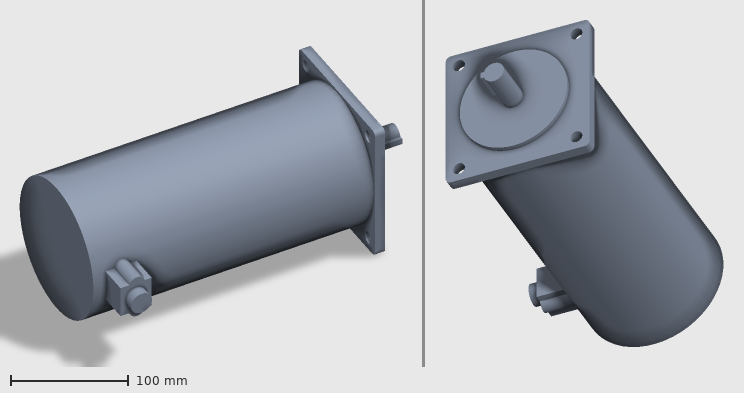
import cadquery as cq

overall_width = 167.0
flange_side = 134.0
flange_thickness = 10.0
flange_corner_radius = 5.0
hole_spacing = 109.5
hole_diameter = 11.0
casing_diameter = 130.0
casing_length = 272.2

shaft_offset = 1.5
pilot_diameter = 100.0
pilot_height = 5.0
shaft_diameter = 19.0
shaft_length = 41.0

key_width = 6.0
key_height = 6.0
key_length = 30.0
key_top = 12.0

block_width = 30.2
connector_from_rear = 27.5
connector_z = -1.0
lobe_width = 14.8
lobe_height = 6.0
lobe_offset = 1.0
plug_diameter = 20.5
plug_length = 10.0

shaft_end = pilot_height + shaft_length
casing_front = -flange_thickness
casing_rear = casing_front - casing_length
connector_y = casing_rear + connector_from_rear
plug_end = overall_width - flange_side / 2
block_end = plug_end - plug_length


def cylinder_along_y(diameter, y_start, y_end, axis_x=0):
    """Cylinder between two Y positions, its axis at the given X."""
    base = cq.Workplane("XZ", origin=(axis_x, y_start, 0))
    return base.circle(diameter / 2).extrude(y_start - y_end)


def make_flange():
    """Square mounting flange with rounded corners and four through holes."""
    plate = cq.Workplane("XZ").rect(flange_side, flange_side).extrude(flange_thickness)
    holes = (
        cq.Workplane("XZ")
        .rect(hole_spacing, hole_spacing, forConstruction=True)
        .vertices()
        .circle(hole_diameter / 2)
        .extrude(flange_thickness)
    )
    return plate.edges("|Y").fillet(flange_corner_radius).cut(holes)


def make_connector():
    """Block with a rounded lobe above and below and a round plug, reaching out from the casing axis."""
    connector_plane = cq.Workplane("YZ", origin=(0, connector_y, connector_z))
    lobe_radius = ((lobe_width / 2) ** 2 + lobe_height**2) / (2 * lobe_height)
    lobe_centre = block_width / 2 + lobe_height - lobe_radius
    block = connector_plane.rect(block_width, block_width).extrude(block_end)
    lobes = (
        connector_plane.pushPoints([(lobe_offset, lobe_centre), (lobe_offset, -lobe_centre)])
        .circle(lobe_radius)
        .extrude(block_end)
    )
    plug = connector_plane.circle(plug_diameter / 2).extrude(plug_end)
    return block.union(lobes).union(plug)


def make_key():
    """Key with one rounded end, its inner part below the shaft surface."""
    inner_end = shaft_end - key_length
    round_centre = inner_end + key_width / 2
    key_bottom = shaft_offset + key_top - key_height
    return (
        cq.Workplane("YZ", origin=(key_bottom, 0, 0))
        .moveTo(shaft_end, key_width / 2)
        .lineTo(round_centre, key_width / 2)
        .threePointArc((inner_end, 0), (round_centre, -key_width / 2))
        .lineTo(shaft_end, -key_width / 2)
        .close()
        .extrude(key_height)
    )


def make_motor(seated_key):
    """Casing, flange, pilot, shaft and connector as one solid, with a keyway that fits the key."""
    return (
        cylinder_along_y(casing_diameter, casing_rear, casing_front)
        .union(make_connector())
        .union(make_flange())
        .union(cylinder_along_y(pilot_diameter, 0, pilot_height, shaft_offset))
        .union(cylinder_along_y(shaft_diameter, pilot_height, shaft_end, shaft_offset))
        .cut(seated_key)
    )


key = make_key()
motor = make_motor(key)

result = cq.Compound.makeCompound([motor.solids().val(), key.val()])